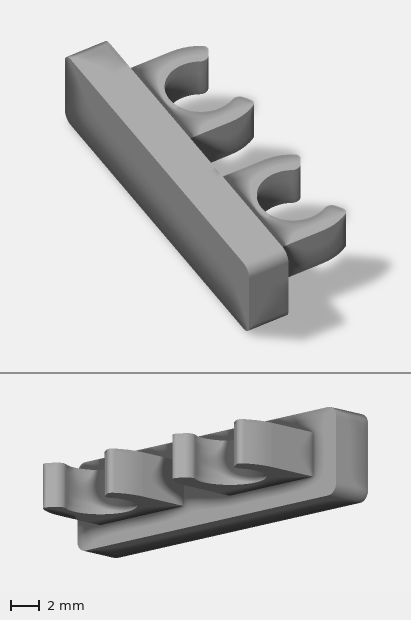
import cadquery as cq
import math

plate_length = 25.4
plate_depth = 3.18
plate_height = 6.35
plate_corner_radius = 0.8

clip_spacing = plate_length / 2
clip_height = plate_height / 2
bore_radius = 2.55
clip_radius = 4.11
bore_center_offset = 4.11
tip_outer_angle = 37.9
tip_inner_angle = 42.0
tip_outer_radius = 0.4
tip_inner_radius = 0.6


def polar(radius, angle):
    """Point at a radius and an angle in degrees around the bore axis."""
    return (radius * math.cos(math.radians(angle)), radius * math.sin(math.radians(angle)))


def mirrored(point):
    return (-point[0], point[1])


def make_plate():
    plate = cq.Workplane("XY").box(plate_length, plate_depth, plate_height, centered=(True, False, True))
    return plate.edges("|Y").fillet(plate_corner_radius)


def round_tips(clip, right_tip, fillet_radius):
    """Round the edge at the given corner and at its mirror image."""
    for tip in (right_tip, mirrored(right_tip)):
        clip = clip.edges(cq.selectors.NearestToPointSelector((*tip, 0))).fillet(fillet_radius)
    return clip


def make_clip():
    """Open C-shaped clip on a straight stem, with its bore axis at the origin."""
    outer_tip = polar(clip_radius, tip_outer_angle)
    inner_tip = polar(bore_radius, tip_inner_angle)
    outer_middle = polar(clip_radius, tip_outer_angle / 2)
    clip = (
        cq.Workplane("XY")
        .moveTo(-clip_radius, -bore_center_offset)
        .lineTo(clip_radius, -bore_center_offset)
        .lineTo(clip_radius, 0)
        .threePointArc(outer_middle, outer_tip)
        .lineTo(*inner_tip)
        .threePointArc((0, -bore_radius), mirrored(inner_tip))
        .lineTo(*mirrored(outer_tip))
        .threePointArc(mirrored(outer_middle), (-clip_radius, 0))
        .close()
        .extrude(clip_height / 2, both=True)
    )
    clip = round_tips(clip, outer_tip, tip_outer_radius)
    return round_tips(clip, inner_tip, tip_inner_radius)


result = make_plate()
clip = make_clip()
for side in (-1, 1):
    clip_position = (side * clip_spacing / 2, plate_depth + bore_center_offset, 0)
    result = result.union(clip.translate(clip_position))